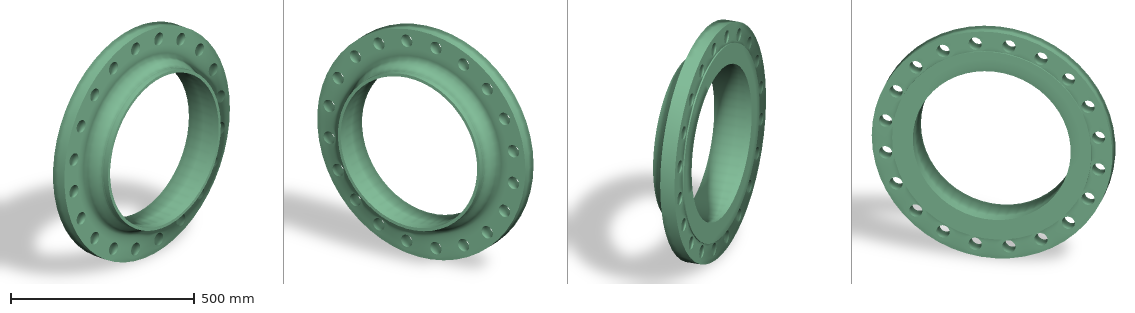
import cadquery as cq


flange_diameter = 670.0
plate_thickness = 42.0
raised_face_diameter = 555.0
raised_face_height = 4.0

total_length = 110.0
hub_base_diameter = 500.0
neck_diameter = 457.0
neck_length = 20.0
hub_fillet_radius = 12.0
bore_diameter = 439.5

bolt_count = 20
bolt_hole_diameter = 36.0
bolt_circle_diameter = 600.0

plate_front = raised_face_height
plate_back = plate_front + plate_thickness
cone_end = total_length - neck_length


def flange_body():
    """Revolve the half section, bore included, around the X axis."""
    half_section = [
        (0, bore_diameter / 2),
        (0, raised_face_diameter / 2),
        (plate_front, raised_face_diameter / 2),
        (plate_front, flange_diameter / 2),
        (plate_back, flange_diameter / 2),
        (plate_back, hub_base_diameter / 2),
        (cone_end, neck_diameter / 2),
        (total_length, neck_diameter / 2),
        (total_length, bore_diameter / 2),
    ]
    return cq.Workplane("XY").polyline(half_section).close().revolve(360, (0, 0, 0), (1, 0, 0))


def circle_edge(x, diameter):
    """Select the circular edge of this diameter at station x."""
    reach = diameter / 2
    margin = 1.0
    return cq.selectors.BoxSelector(
        (x - margin, -reach - margin, -reach - margin),
        (x + margin, reach + margin, reach + margin),
        boundingbox=True,
    )


def round_hub(body):
    """Round the inside corners at both ends of the hub cone."""
    hub_corners = circle_edge(plate_back, hub_base_diameter) + circle_edge(cone_end, neck_diameter)
    return body.edges(hub_corners).fillet(hub_fillet_radius)


def bolt_holes():
    """Through-hole cutters on the bolt circle, straddling the Y and Z axes."""
    half_pitch = 360 / bolt_count / 2
    return (
        cq.Workplane("YZ")
        .polarArray(bolt_circle_diameter / 2, half_pitch, 360, bolt_count)
        .circle(bolt_hole_diameter / 2)
        .extrude(plate_back)
    )


result = round_hub(flange_body()).cut(bolt_holes())